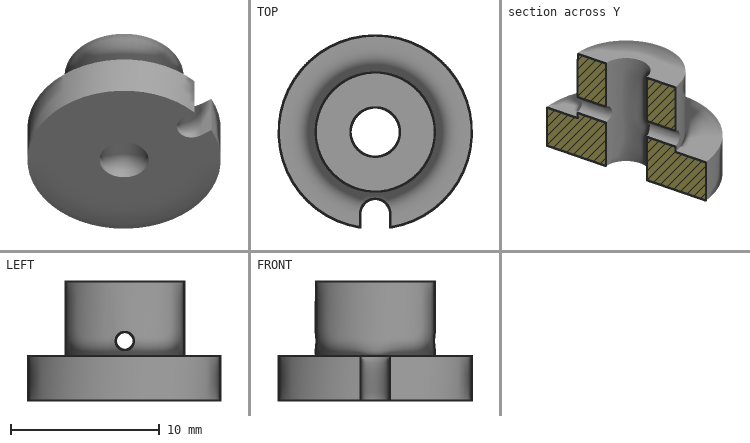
import cadquery as cq

flange_diameter = 12.98
flange_thickness = 3.0
hub_diameter = 8.0
total_height = 8.0
bore_diameter = 3.3
pin_hole_diameter = 1.2
pin_hole_height = 4.0
notch_width = 2.0
notch_end_distance = 4.49

flange_radius = flange_diameter / 2
notch_center_y = -(notch_end_distance + notch_width / 2)


def make_body():
    """Round flange with a concentric hub on top."""
    flange = cq.Workplane("XY").circle(flange_radius).extrude(flange_thickness)
    hub = cq.Workplane("XY").circle(hub_diameter / 2).extrude(total_height)
    return flange.union(hub)


def make_bore():
    """Axial through bore."""
    return cq.Workplane("XY").circle(bore_diameter / 2).extrude(total_height)


def make_pin_hole():
    """Cross hole along X through both walls of the hub."""
    return (
        cq.Workplane("YZ")
        .center(0, pin_hole_height)
        .circle(pin_hole_diameter / 2)
        .extrude(hub_diameter / 2, both=True)
    )


def make_notch():
    """Round-ended slot open at the -Y edge of the flange."""
    round_end = (
        cq.Workplane("XY")
        .center(0, notch_center_y)
        .circle(notch_width / 2)
        .extrude(flange_thickness)
    )
    opening = (
        cq.Workplane("XY")
        .center(0, notch_center_y - flange_radius / 2)
        .rect(notch_width, flange_radius)
        .extrude(flange_thickness)
    )
    return round_end.union(opening)


result = make_body().cut(make_bore()).cut(make_pin_hole()).cut(make_notch())